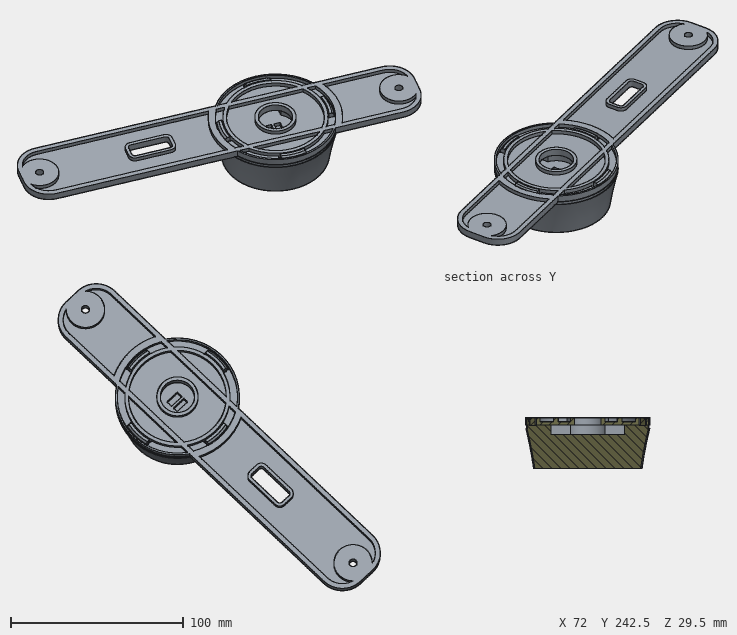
import cadquery as cq

TOTAL_HEIGHT = 29.5
PLATE_THICKNESS = 4.4
RIB_HEIGHT = 2.5
LIP_HEIGHT = 2.0
PLATE_BOTTOM = TOTAL_HEIGHT - PLATE_THICKNESS
FLOOR_TOP = TOTAL_HEIGHT - RIB_HEIGHT
CONE_TOP = PLATE_BOTTOM - LIP_HEIGHT

STRAP_LENGTH = 242.5
STRAP_WIDTH = 40.0
STRAP_CORNER_RADIUS = 15.0
STRAP_REAR_END = 86.8
STRAP_CENTER_Y = STRAP_REAR_END - STRAP_LENGTH / 2
RIM_WIDTH = 3.0

PAD_RADIUS = 11.2
SCREW_HOLE_DIAMETER = 4.5
PAD_OFFSET = STRAP_LENGTH / 2 - PAD_RADIUS
PAD_POINTS = [(0, STRAP_CENTER_Y + side * PAD_OFFSET) for side in (-1, 1)]

WINDOW_WIDTH = 9.5
WINDOW_LENGTH = 24.7
WINDOW_CORNER_RADIUS = 2.0
WINDOW_RIM = 2.0
WINDOW_Y = -76.5

ROSE_RADIUS = 72.0 / 2
INNER_RIB_RADIUS = 28.4
GROOVE_INNER_RADIUS = 30.5
GROOVE_OUTER_RADIUS = 35.0
STRAP_ARC_RADIUS = 39.0

BORE_DIAMETER = 20.0
COLLAR_DIAMETER = 24.0

LIP_RADIUS = 35.6
KNOB_MIDDLE_RADIUS = 33.5
KNOB_BOTTOM_RADIUS = 31.5
SOCKET_FLOOR = 20.0
KEYWAY_LENGTH = 53.0
KEYWAY_WIDTH = 13.3
POCKET_WIDTH = 8.5
POCKET_DEPTH = 2.5
REAR_POCKET = (0.5, 4.4)
FRONT_POCKET = (-4.1, -1.0)

CLIP_COUNT = 4
SLOT_LENGTH = 16.5
SLOT_OUTER_RADIUS = 34.7
CLIP_LENGTH = 15.0
CLIP_INNER_RADIUS = 31.3
CLIP_OUTER_RADIUS = 34.2
CLIP_CHAMFER = 1.2


def disc(radius, bottom, top):
    return cq.Workplane("XY").workplane(offset=bottom).circle(radius).extrude(top - bottom)


def ring(inner_radius, outer_radius, bottom, top):
    return disc(outer_radius, bottom, top).cut(disc(inner_radius, bottom, top))


def rounded_bar(width, length, corner_radius, center_y, bottom, top):
    bar = cq.Workplane("XY").box(width, length, top - bottom, centered=(True, True, False))
    return bar.edges("|Z").fillet(corner_radius).translate((0, center_y, bottom))


def sector_block(length, bottom, top):
    """Block on the +X side that limits a round shape to one short stretch."""
    return (
        cq.Workplane("XY")
        .box(2 * ROSE_RADIUS, length, top - bottom, centered=(False, True, False))
        .translate((0, 0, bottom))
    )


def copies_around_axis(body):
    step = 360 / CLIP_COUNT
    return [body.rotate((0, 0, 0), (0, 0, 1), step * i) for i in range(CLIP_COUNT)]


def make_plate():
    strap = rounded_bar(
        STRAP_WIDTH, STRAP_LENGTH, STRAP_CORNER_RADIUS, STRAP_CENTER_Y, PLATE_BOTTOM, TOTAL_HEIGHT
    )
    inside = rounded_bar(
        STRAP_WIDTH - 2 * RIM_WIDTH,
        STRAP_LENGTH - 2 * RIM_WIDTH,
        STRAP_CORNER_RADIUS - RIM_WIDTH,
        STRAP_CENTER_Y,
        FLOOR_TOP,
        TOTAL_HEIGHT,
    )
    side_rims = strap.cut(inside)

    arms = inside.cut(disc(STRAP_ARC_RADIUS, FLOOR_TOP, TOTAL_HEIGHT))
    groove = ring(GROOVE_INNER_RADIUS, GROOVE_OUTER_RADIUS, FLOOR_TOP, TOTAL_HEIGHT)
    center = disc(INNER_RIB_RADIUS, FLOOR_TOP, TOTAL_HEIGHT)
    plate = strap.union(disc(ROSE_RADIUS, PLATE_BOTTOM, TOTAL_HEIGHT))
    plate = plate.cut(arms).cut(groove).cut(center).union(side_rims)

    for x, y in PAD_POINTS:
        plate = plate.union(disc(PAD_RADIUS, PLATE_BOTTOM, TOTAL_HEIGHT).translate((x, y, 0)))
    window_rim = rounded_bar(
        WINDOW_WIDTH + 2 * WINDOW_RIM,
        WINDOW_LENGTH + 2 * WINDOW_RIM,
        WINDOW_CORNER_RADIUS + WINDOW_RIM,
        WINDOW_Y,
        PLATE_BOTTOM,
        TOTAL_HEIGHT,
    )
    collar = disc(COLLAR_DIAMETER / 2, PLATE_BOTTOM, TOTAL_HEIGHT)
    plate = plate.union(window_rim).union(collar)

    window = rounded_bar(
        WINDOW_WIDTH, WINDOW_LENGTH, WINDOW_CORNER_RADIUS, WINDOW_Y, PLATE_BOTTOM, TOTAL_HEIGHT
    )
    plate = plate.cut(window).cut(disc(BORE_DIAMETER / 2, PLATE_BOTTOM, TOTAL_HEIGHT))
    for x, y in PAD_POINTS:
        hole = disc(SCREW_HOLE_DIAMETER / 2, PLATE_BOTTOM, TOTAL_HEIGHT)
        plate = plate.cut(hole.translate((x, y, 0)))
    slot = ring(GROOVE_INNER_RADIUS, SLOT_OUTER_RADIUS, PLATE_BOTTOM, TOTAL_HEIGHT)
    slot = slot.intersect(sector_block(SLOT_LENGTH, PLATE_BOTTOM, TOTAL_HEIGHT))
    for placed_slot in copies_around_axis(slot):
        plate = plate.cut(placed_slot)
    return plate


def make_knob():
    profile = (
        cq.Workplane("XZ")
        .lineTo(KNOB_BOTTOM_RADIUS, 0)
        .threePointArc((KNOB_MIDDLE_RADIUS, CONE_TOP / 2), (ROSE_RADIUS, CONE_TOP))
        .lineTo(LIP_RADIUS, CONE_TOP)
        .lineTo(LIP_RADIUS, PLATE_BOTTOM)
        .lineTo(0, PLATE_BOTTOM)
        .close()
    )
    knob = profile.revolve(360, (0, 0, 0), (0, 1, 0))

    keyway = (
        cq.Workplane("XY")
        .workplane(offset=SOCKET_FLOOR)
        .slot2D(KEYWAY_LENGTH, KEYWAY_WIDTH)
        .extrude(PLATE_BOTTOM - SOCKET_FLOOR)
    )
    knob = knob.cut(disc(COLLAR_DIAMETER / 2, SOCKET_FLOOR, PLATE_BOTTOM)).cut(keyway)

    for front, rear in (FRONT_POCKET, REAR_POCKET):
        pocket = cq.Workplane("XY").box(
            POCKET_WIDTH, rear - front, POCKET_DEPTH, centered=(True, False, False)
        )
        knob = knob.cut(pocket.translate((0, front, SOCKET_FLOOR - POCKET_DEPTH)))
    return knob


def make_clip():
    outer = disc(CLIP_OUTER_RADIUS, PLATE_BOTTOM, TOTAL_HEIGHT).faces(">Z").edges().chamfer(CLIP_CHAMFER)
    wall = outer.cut(disc(CLIP_INNER_RADIUS, PLATE_BOTTOM, TOTAL_HEIGHT))
    return wall.intersect(sector_block(CLIP_LENGTH, PLATE_BOTTOM, TOTAL_HEIGHT))


plate = make_plate()
knob = make_knob()
clips = copies_around_axis(make_clip())

result = cq.Compound.makeCompound([plate.val(), knob.val(), *[clip.val() for clip in clips]])